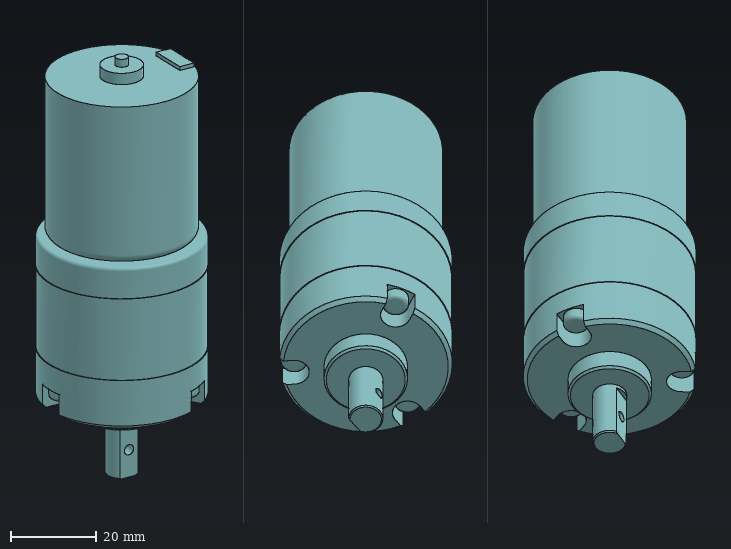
import cadquery as cq

shaft_exposed_length = 15.0
pilot_length = 5.0
front_cap_length = 12.6
ring_gear_length = 20.9
rear_cap_length = 8.0
motor_length = 40.2
bearing_boss_length = 2.9
rear_shaft_exposed_length = 2.0

ring_gear_bottom = front_cap_length
rear_cap_bottom = ring_gear_bottom + ring_gear_length
motor_bottom = rear_cap_bottom + rear_cap_length
motor_top = motor_bottom + motor_length
bearing_boss_top = motor_top + bearing_boss_length
shaft_tip = -(pilot_length + shaft_exposed_length)

cap_diameter = 40.5
cap_edge_size = 1.0
ring_gear_diameter = 40.2
pilot_diameter = 19.5
pilot_chamfer = 0.5

shaft_diameter = 8.0
shaft_tip_chamfer = 0.3
flat_offset = 3.1
flat_start_gap = 1.0
cross_hole_diameter = 2.6
cross_hole_tip_distance = 7.0

screw_angles = (30, 150, 270)
screw_circle_radius = 16.8
screw_head_diameter = 6.1
screw_head_height = 2.8
screw_head_fillet = 1.0
slot_width = 7.0
slot_depth = 6.2

motor_diameter = 36.0
motor_fillet = 2.0
bearing_boss_diameter = 10.2
rear_shaft_diameter = 3.2
tab_width = 10.0
tab_outer_y = 17.0
tab_depth = 4.0
tab_height = 1.0


def cylinder(diameter, bottom, height):
    """Upright cylinder on the Z axis."""
    return cq.Workplane("XY").workplane(offset=bottom).circle(diameter / 2).extrude(height)


def make_screw_slot(angle):
    """Slot with a round inner end around the screw, open to the mounting face and the outer wall."""
    half_width = slot_width / 2
    outer_end = screw_circle_radius + cap_diameter / 2
    slot = (
        cq.Workplane("XY")
        .moveTo(outer_end, half_width)
        .lineTo(screw_circle_radius, half_width)
        .threePointArc(
            (screw_circle_radius - half_width, 0),
            (screw_circle_radius, -half_width),
        )
        .lineTo(outer_end, -half_width)
        .close()
        .extrude(slot_depth)
    )
    return slot.rotate((0, 0, 0), (0, 0, 1), angle)


def make_front_cap():
    """Front cap with pilot, shaft bore and three screw slots."""
    cap = cylinder(cap_diameter, 0, front_cap_length).faces("<Z").chamfer(cap_edge_size)
    pilot = cylinder(pilot_diameter, -pilot_length, pilot_length).faces("<Z").chamfer(pilot_chamfer)
    bore = cylinder(shaft_diameter, -pilot_length, pilot_length + front_cap_length)
    cap = cap.union(pilot).cut(bore)
    for angle in screw_angles:
        cap = cap.cut(make_screw_slot(angle))
    return cap


def make_screw(angle):
    """Screw head seated on the roof of its slot, rounded on the lower side."""
    head = (
        cq.Workplane("XY")
        .workplane(offset=slot_depth - screw_head_height)
        .center(screw_circle_radius, 0)
        .circle(screw_head_diameter / 2)
        .extrude(screw_head_height)
        .faces("<Z")
        .fillet(screw_head_fillet)
    )
    return head.rotate((0, 0, 0), (0, 0, 1), angle)


def make_output_shaft():
    """Output shaft with a D-flat on +X and a cross hole along X."""
    shaft = cylinder(shaft_diameter, shaft_tip, front_cap_length - shaft_tip)
    shaft = shaft.faces("<Z").chamfer(shaft_tip_chamfer)
    flat_cutter = cq.Workplane("XY").box(
        shaft_diameter,
        shaft_diameter,
        shaft_exposed_length - flat_start_gap,
        centered=(False, True, False),
    )
    cross_hole = (
        cq.Workplane("YZ")
        .center(0, shaft_tip + cross_hole_tip_distance)
        .circle(cross_hole_diameter / 2)
        .extrude(shaft_diameter, both=True)
    )
    return shaft.cut(flat_cutter.translate((flat_offset, 0, shaft_tip))).cut(cross_hole)


def make_rear_cap():
    """Rear gearbox cap with a rounded upper rim."""
    return cylinder(cap_diameter, rear_cap_bottom, rear_cap_length).faces(">Z").edges().fillet(cap_edge_size)


def make_motor():
    """Motor can with rear bearing boss, terminal tab and hole for the rear shaft."""
    can = cylinder(motor_diameter, motor_bottom, motor_length).faces("<Z").edges().fillet(motor_fillet)
    boss = cylinder(bearing_boss_diameter, motor_top, bearing_boss_length)
    tab = (
        cq.Workplane("XY")
        .workplane(offset=motor_top)
        .center(0, tab_outer_y - tab_depth / 2)
        .rect(tab_width, tab_depth)
        .extrude(tab_height)
    )
    shaft_hole = cylinder(rear_shaft_diameter, motor_top, bearing_boss_length)
    return can.union(boss).union(tab).cut(shaft_hole)


front_cap = make_front_cap()
ring_gear = cylinder(ring_gear_diameter, ring_gear_bottom, ring_gear_length)
rear_cap = make_rear_cap()
motor = make_motor()
rear_shaft = cylinder(rear_shaft_diameter, motor_top, bearing_boss_length + rear_shaft_exposed_length)
output_shaft = make_output_shaft()
screws = [make_screw(angle) for angle in screw_angles]

result = cq.Compound.makeCompound([
    front_cap.val(),
    ring_gear.val(),
    rear_cap.val(),
    motor.val(),
    rear_shaft.val(),
    output_shaft.val(),
    *[screw.val() for screw in screws],
])